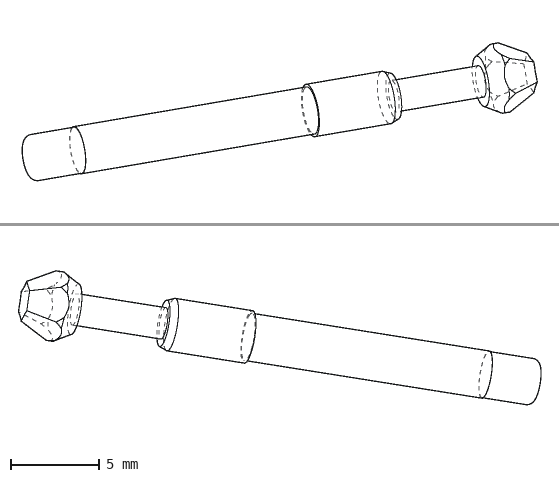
import cadquery as cq
import math

total_length = 30.3
tip_y = total_length / 2
base_y = -total_length / 2

barrel_radius = 1.35
end_cap_radius = 1.33
end_cap_length = 3.0
end_fillet = 0.42

collar_radius = 1.5
collar_front_y = tip_y - 8.25
collar_rear_y = tip_y - 13.27
collar_chamfer_radius = 1.33
collar_chamfer_length = 0.45

neck_radius = 0.9
head_length = 3.0
head_rear_y = tip_y - head_length
head_radius = 2.0
head_rear_radius = 1.45
head_widest_y = tip_y - 2.0

point_count = 6
ridge_tip_radius = 1.15
ridge_slope = 0.53
valley_ratio = 0.83


def make_body():
    """Revolved barrel, collar and neck."""
    cap_front_y = base_y + end_cap_length
    fillet_center_radius = end_cap_radius - end_fillet
    fillet_middle = end_fillet * math.sqrt(0.5)
    profile = (
        cq.Workplane("XY")
        .moveTo(0, base_y)
        .lineTo(fillet_center_radius, base_y)
        .threePointArc(
            (fillet_center_radius + fillet_middle, base_y + end_fillet - fillet_middle),
            (end_cap_radius, base_y + end_fillet),
        )
        .lineTo(end_cap_radius, cap_front_y)
        .lineTo(barrel_radius, cap_front_y)
        .lineTo(barrel_radius, collar_rear_y)
        .lineTo(collar_radius, collar_rear_y)
        .lineTo(collar_radius, collar_front_y - collar_chamfer_length)
        .lineTo(collar_chamfer_radius, collar_front_y)
        .lineTo(neck_radius, collar_front_y)
        .lineTo(neck_radius, head_rear_y)
        .lineTo(0, head_rear_y)
        .close()
    )
    return profile.revolve(360, (0, 0), (0, 1))


def make_head_blank():
    """Cylinder with a conical back, before the star point is cut."""
    profile = (
        cq.Workplane("XY")
        .moveTo(0, head_rear_y)
        .lineTo(head_rear_radius, head_rear_y)
        .lineTo(head_radius, head_widest_y)
        .lineTo(head_radius, tip_y)
        .lineTo(0, tip_y)
        .close()
    )
    return profile.revolve(360, (0, 0), (0, 1))


def star_outline(ridge_radius):
    """Evenly spaced ridges starting on the X axis, with valleys midway."""
    points = []
    for index in range(2 * point_count):
        angle = index * math.pi / point_count
        radius = ridge_radius if index % 2 == 0 else ridge_radius * valley_ratio
        points.append((radius * math.cos(angle), radius * math.sin(angle)))
    return points


def make_star_pyramid():
    """Straight-sided star that widens from the tip to the back of the head."""
    ridge_rear_radius = ridge_tip_radius + ridge_slope * head_length
    return (
        cq.Workplane("XZ", origin=(0, tip_y, 0))
        .polyline(star_outline(ridge_tip_radius))
        .close()
        .workplane(offset=head_length)
        .polyline(star_outline(ridge_rear_radius))
        .close()
        .loft(ruled=True)
    )


head = make_head_blank().intersect(make_star_pyramid())
result = make_body().union(head)